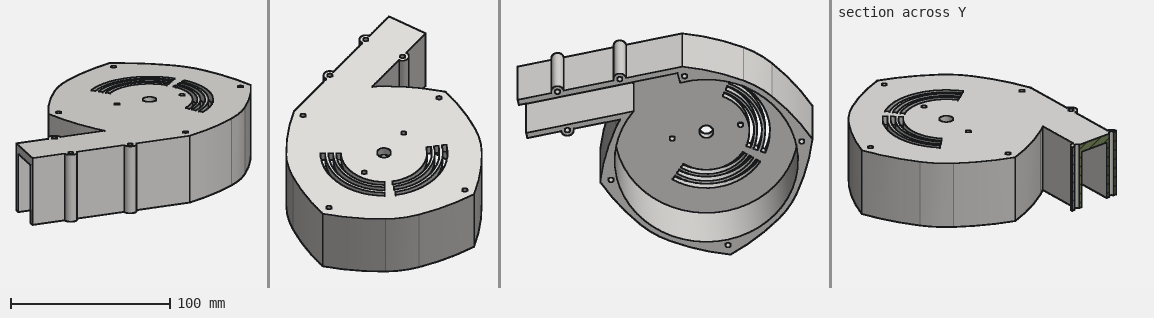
import cadquery as cq
import math

height = 45.0
roof_thickness = 6.0
tip_reach = 68.5
flank_radius = 61.5
flank_near = 35.3
cavity_radius = 57.6

duct_length = 106.2
duct_width = 28.0
duct_wall = 3.8
duct_right = tip_reach
passage_end = -duct_wall
duct_left = duct_right - duct_width

lug_radius = 4.0
lug_spacing = 40.2
lug_points = [
    (duct_right, -lug_spacing),
    (duct_right, -2 * lug_spacing),
    (duct_left, -2 * lug_spacing),
]

shaft_hole_radius = 4.4
screw_hole_radius = 1.66
motor_screw_offset = 22.0

slot_outer_radii = [40.0, 35.0, 30.0]
slot_width = 3.0
slot_span = 90
slot_start_angles = [35, 135]


def polar(radius, degrees):
    angle = math.radians(degrees)
    return (radius * math.cos(angle), radius * math.sin(angle))


def prism(points, depth):
    return cq.Workplane("XY").polyline(points).close().extrude(depth)


def make_volute():
    """Four-tipped body; every quarter is a flank arc blended tangentially to two tips."""
    flank_start = math.degrees(math.asin(flank_near / flank_radius))
    start_x, start_y = polar(flank_radius, flank_start)
    chord_x = tip_reach - start_x
    chord = math.hypot(chord_x, start_y)
    turn = math.atan2(start_y, chord_x) - math.radians(90 - flank_start)
    sagitta = chord / 2 * math.tan(abs(turn) / 2)
    mid_x = (tip_reach + start_x) / 2 + sagitta * start_y / chord
    mid_y = start_y / 2 + sagitta * chord_x / chord
    mid_radius = math.hypot(mid_x, mid_y)
    mid_angle = math.degrees(math.atan2(mid_y, mid_x))

    outline = cq.Workplane("XY").moveTo(tip_reach, 0)
    for tip_angle in (0, 90, 180, 270):
        next_tip = tip_angle + 90
        outline = (
            outline
            .threePointArc(polar(mid_radius, tip_angle + mid_angle),
                           polar(flank_radius, tip_angle + flank_start))
            .threePointArc(polar(flank_radius, tip_angle + 45),
                           polar(flank_radius, next_tip - flank_start))
            .threePointArc(polar(mid_radius, next_tip - mid_angle),
                           polar(tip_reach, next_tip))
        )
    return outline.close().extrude(height)


def make_duct_box(left, right, end, depth):
    return prism([(left, end), (right, end), (right, -duct_length), (left, -duct_length)], depth)


def make_cavity():
    """Impeller chamber and duct passage, open at the bottom and closed by the roof."""
    depth = height - roof_thickness
    chamber = cq.Workplane("XY").circle(cavity_radius).extrude(depth)
    passage = make_duct_box(duct_left + duct_wall, duct_right - duct_wall, passage_end, depth)
    return chamber.union(passage)


def make_slot(outer_radius, start_angle):
    inner_radius = outer_radius - slot_width
    middle = start_angle + slot_span / 2
    end = start_angle + slot_span
    return (
        cq.Workplane("XY")
        .moveTo(*polar(outer_radius, start_angle))
        .threePointArc(polar(outer_radius, middle), polar(outer_radius, end))
        .lineTo(*polar(inner_radius, end))
        .threePointArc(polar(inner_radius, middle), polar(inner_radius, start_angle))
        .close()
        .extrude(height)
    )


def make_cylinders(points, radius):
    return cq.Workplane("XY").pushPoints(points).circle(radius).extrude(height)


result = make_volute().union(make_duct_box(duct_left, duct_right, 0, height))
result = result.union(make_cylinders(lug_points, lug_radius))

result = result.cut(make_cavity())

tip_screws = [polar(flank_radius, angle) for angle in (0, 90, 180, 270)]
motor_screws = [(0, motor_screw_offset), (0, -motor_screw_offset)]
result = result.cut(make_cylinders([(0, 0)], shaft_hole_radius))
result = result.cut(make_cylinders(tip_screws + motor_screws + lug_points, screw_hole_radius))

for slot_start in slot_start_angles:
    for slot_radius in slot_outer_radii:
        result = result.cut(make_slot(slot_radius, slot_start))